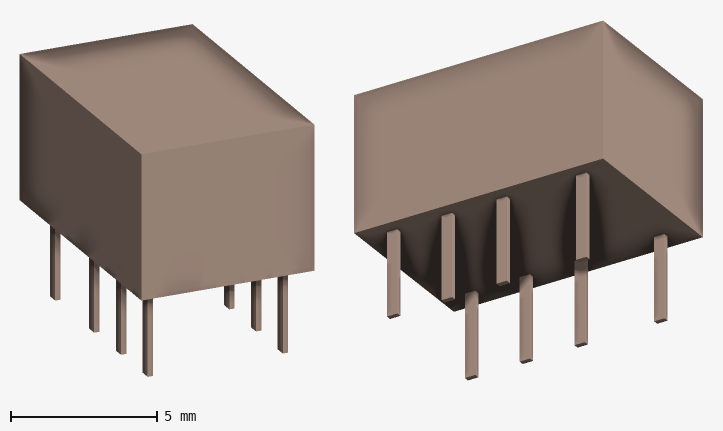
import cadquery as cq

body_length = 10.0
body_width = 6.5
body_height = 5.4

pin_length = 3.3
pin_width = 0.42
pin_thickness = 0.2
even_pin_count = 3
pin_pitch = 2.2
first_gap = 3.2
first_pin_inset = 1.2
row_spacing = 5.08
front_row_inset = 0.79

first_x = -body_length / 2 + first_pin_inset
second_x = first_x + first_gap
pin_xs = [first_x] + [second_x + i * pin_pitch for i in range(even_pin_count)]
front_y = -body_width / 2 + front_row_inset
row_ys = [front_y, front_y + row_spacing]


def make_body():
    """Plain block standing on the XY plane."""
    return cq.Workplane("XY").box(body_length, body_width, body_height, centered=(True, True, False))


def make_pins():
    """Both rows of pins, hanging from the underside of the body."""
    centres = [(x, y) for x in pin_xs for y in row_ys]
    return cq.Workplane("XY").pushPoints(centres).rect(pin_width, pin_thickness).extrude(-pin_length)


result = make_body().union(make_pins())